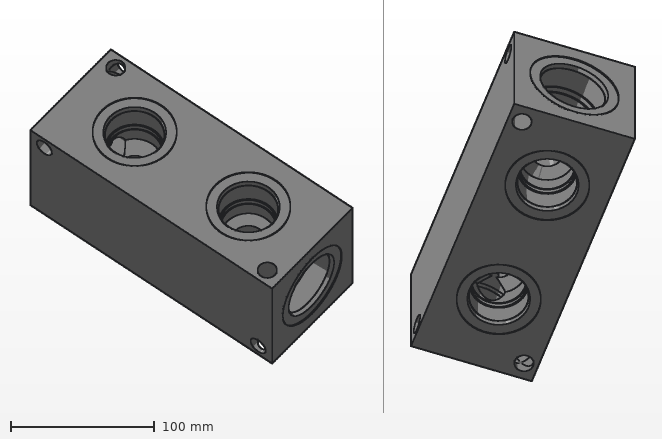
import cadquery as cq
import math

length = 216.0
side = 89.0
half_length = length / 2
half_side = side / 2

mount_diameter = 13.4
mount_end_inset = 12.5
mount_side_inset = 10.1
mount_offset = half_length - mount_end_inset
mount_height = half_side - mount_side_inset

spotface_depth = 0.9
taper_depth = 4.0
thread_depth = 19.9
minor_depth = 23.7
drill_slope = math.tan(math.radians(118 / 2))

branch_offset = 50.7
branch_drill_depth = 34.8
deep_branch_drill_depth = 36.3

end_drill_depth = 36.5

passage_slope = math.tan(math.radians(12))
passage_half_height = 6.5
left_passage_diameter = 19.6
right_passage_diameter = 21.0


def revolved(profile):
    """Solid of revolution about Z from (radius, height) points."""
    return cq.Workplane("XZ").polyline(profile).close().revolve(360, (0, 0), (0, 1))


def port_cutter(spotface, mouth, throat, thread, minor, drill, drill_depth):
    """Stepped threaded port: face at the origin, running down -Z to a drill tip."""
    tip_depth = drill_depth + drill / 2 / drill_slope
    return revolved([
        (0, 0),
        (spotface / 2, 0),
        (spotface / 2, -spotface_depth),
        (mouth / 2, -spotface_depth),
        (throat / 2, -taper_depth),
        (thread / 2, -taper_depth),
        (thread / 2, -thread_depth),
        (minor / 2, -thread_depth),
        (minor / 2, -minor_depth),
        (drill / 2, -minor_depth),
        (drill / 2, -drill_depth),
        (0, -tip_depth),
    ])


def branch_port(drill_depth):
    """Side port opening on the top face."""
    port = port_cutter(
        spotface=58.5, mouth=43.6, throat=41.7, thread=41.2, minor=39.3, drill=38.0,
        drill_depth=drill_depth,
    )
    return port.translate((0, 0, half_side))


def end_port():
    """End port opening on the -X face."""
    port = port_cutter(
        spotface=65.2, mouth=50.0, throat=48.1, thread=47.7, minor=45.5, drill=43.0,
        drill_depth=end_drill_depth,
    )
    return port.rotate((0, 0, 0), (0, 1, 0), -90).translate((-half_length, 0, 0))


def cross_passage(mid_diameter):
    """Cone between the side ports, wider towards the bottom."""
    flare = passage_half_height * passage_slope
    return revolved([
        (0, -passage_half_height),
        (mid_diameter / 2 + flare, -passage_half_height),
        (mid_diameter / 2 - flare, passage_half_height),
        (0, passage_half_height),
    ])


def circuit_cutter(upper_drill_depth, passage_diameter):
    """All passages of the -X circuit: end port, both side ports and the cross passage."""
    upper = branch_port(upper_drill_depth)
    lower = branch_port(branch_drill_depth).rotate((0, 0, 0), (1, 0, 0), 180)
    column = upper.union(lower).union(cross_passage(passage_diameter))
    return column.translate((-branch_offset, 0, 0)).union(end_port())


def mounting_holes(plane):
    """Two holes right through the block, normal to the given plane, at opposite corners."""
    return (
        cq.Workplane(plane)
        .pushPoints([(-mount_offset, mount_height), (mount_offset, -mount_height)])
        .circle(mount_diameter / 2)
        .extrude(half_side, both=True)
    )


block = cq.Workplane("XY").box(length, side, side)

left_circuit = circuit_cutter(branch_drill_depth, left_passage_diameter)
right_circuit = circuit_cutter(deep_branch_drill_depth, right_passage_diameter)
right_circuit = right_circuit.rotate((0, 0, 0), (0, 1, 0), 180)

result = (
    block
    .cut(left_circuit)
    .cut(right_circuit)
    .cut(mounting_holes("XY"))
    .cut(mounting_holes("XZ"))
)